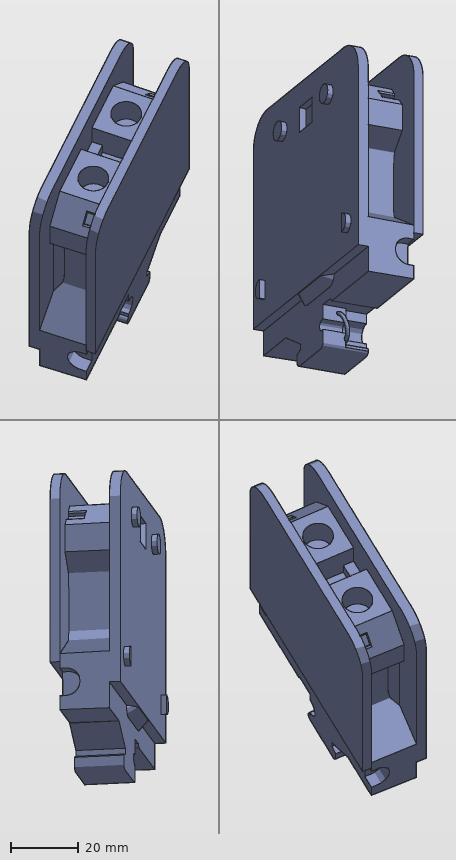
import cadquery as cq
import math


flange_thickness = 3.3
block_width = 15.0
plate_thickness = 3.0
block_left = flange_thickness
block_right = block_left + block_width
block_middle = block_left + block_width / 2

half_length = 37.0
total_height = 87.5
corner_radius = 10.0
flange_bottom = 20.6
plate_bottom = 27.5

peg_radius = 3.0
peg_length = 1.75
upper_peg_y = 16.3
upper_peg_z = 76.3
lower_peg_y = 28.9
lower_peg_z = 30.3

socket_width = 8.9
socket_height = 8.0
socket_depth = 2.0
socket_z = 75.8
socket_taper = 10

lug_width = 22.05
lug_y = -1.8
lug_bottom = 17.5
lug_height = 10.5
lug_depth = 3.15
lug_taper = 45
lug_corner = 3.2

block_bottom = 12.6
ramp_start_z = 30.1
waist_low_z = 37.6
waist_floor_z = 40.5
waist_roof_z = 53.0
waist_high_z = 58.1
head_bottom_z = 63.3
chamfer_bottom_z = 71.75
chamfer_angle = 45
block_top = 79.5
head_half = 28.9
chamfer_height = block_top - chamfer_bottom_z
tower_outer_y = head_half - chamfer_height / math.tan(math.radians(chamfer_angle))
waist_mouth_y = 23.3
waist_core_y = 22.6
block_draft = 0.7

gap_half = 4.3
gap_depth = 10.5
gap_step_depth = 7
gap_step_width = 3.4

screw_hole_radius = 4.55
screw_hole_y = 12.95
screw_hole_depth = 8.75

wall_start_y = 26.0
wall_rise = 2.2
wall_bottom_z = 35.9
wall_top_z = 60.55

pocket_length = 5.4
pocket_width = 4.9
pocket_depth = 1.7
pocket_bevel = 0.6

notch_radius = 4.2
notch_z = 21.3
notch_center_inset = 1.8
notch_depth = 4.5

foot_front_y = -5.1
foot_back_y = 13.4
foot_neck_y = 11.0
foot_corner = 1.9
foot_hook_z = 4.1
foot_neck_low_z = 5.1
foot_neck_high_z = 6.8
foot_ramp_y = 21.3
foot_overlap = 3.5
relief_top = 13.65
relief_y = -10.0
relief_end_y = -11.1

slot_radius = 1.7
slot_center_y = -4.2
bore_y = -3.4
bore_z = 7.35
bore_radius = 3.2
step_face_y = -3.5
toe_top = 2.6
toe_radius = 1.4

ring_radius = 4.5
wire_radius = 0.6
ring_x = 9.6
ring_z = 7.7
ring_tilt = 17.5

sides = (-1, 1)


def box_between(x_min, x_max, y_min, y_max, z_min, z_max):
    size = (x_max - x_min, y_max - y_min, z_max - z_min)
    return cq.Workplane("XY").box(*size, centered=False).translate((x_min, y_min, z_min))


def rounded_plate(left, thickness, bottom):
    """Plate lying in YZ with its two top corners rounded."""
    plate = box_between(left, left + thickness, -half_length, half_length, bottom, total_height)
    return plate.edges("|X and >Z").fillet(corner_radius)


def yz_plane(x):
    return cq.Workplane("YZ", origin=(x, 0, 0))


def peg_pair(peg_y, peg_z):
    centers = [(side * peg_y, peg_z) for side in sides]
    return yz_plane(0).pushPoints(centers).circle(peg_radius).extrude(-peg_length)


def pegs():
    upper = peg_pair(upper_peg_y, upper_peg_z)
    lower = peg_pair(lower_peg_y, lower_peg_z)
    peg_bottom = lower_peg_z - peg_radius
    peg_top = lower_peg_z + peg_radius
    inner_halves = box_between(-peg_length, 0, -lower_peg_y, lower_peg_y, peg_bottom, peg_top)
    return upper.union(lower.cut(inner_halves))


def socket():
    return (
        yz_plane(0)
        .center(0, socket_z)
        .rect(socket_width, socket_height)
        .extrude(socket_depth, taper=socket_taper)
    )


def lug():
    """Rounded pad that slopes away from the block to the outer face of the flange."""
    outline = cq.Sketch().rect(lug_width, lug_height).vertices().fillet(lug_corner)
    return (
        yz_plane(block_left)
        .center(lug_y, lug_bottom + lug_height / 2)
        .placeSketch(outline)
        .extrude(-lug_depth, taper=lug_taper)
    )


def terminal_block():
    """Waisted block whose outline shrinks slightly away from the flange."""
    half_outline = [
        (half_length, block_bottom),
        (half_length, ramp_start_z),
        (waist_mouth_y, waist_low_z),
        (waist_core_y, waist_floor_z),
        (waist_core_y, waist_roof_z),
        (waist_mouth_y, waist_high_z),
        (head_half, head_bottom_z),
        (head_half, chamfer_bottom_z),
        (tower_outer_y, block_top),
    ]
    mirrored = [(-y, z) for y, z in reversed(half_outline)]
    outline = half_outline + mirrored
    return yz_plane(block_left).polyline(outline).close().extrude(block_width, taper=block_draft)


def tower_gap():
    step_right = block_left + gap_step_width
    step_z = block_top - gap_step_depth
    step = box_between(block_left, step_right, -gap_half, gap_half, step_z, block_top)
    deep = box_between(step_right, block_right, -gap_half, gap_half, block_top - gap_depth, block_top)
    return step.union(deep)


def screw_holes():
    return (
        cq.Workplane("XY", origin=(block_middle, 0, block_top))
        .pushPoints([(0, side * screw_hole_y) for side in sides])
        .circle(screw_hole_radius)
        .extrude(-screw_hole_depth)
    )


def waist_wall(side):
    """Wedge that slopes from the flange up to the core of the waist."""
    corners = [
        (block_left, side * wall_start_y),
        (block_left, side * waist_core_y),
        (block_left + wall_rise, side * waist_core_y),
    ]
    wedge = cq.Workplane("XY", origin=(0, 0, wall_bottom_z)).polyline(corners).close()
    return wedge.extrude(wall_top_z - wall_bottom_z)


def latch_pocket(side):
    """Pocket with beveled ends, sunk square into a chamfer and open toward the end plate."""
    chamfer_middle_y = (head_half + tower_outer_y) / 2
    chamfer_middle_z = (block_top + chamfer_bottom_z) / 2
    mouth_half = pocket_width / 2
    floor_half = mouth_half - pocket_bevel
    profile = [
        (-mouth_half, 0),
        (-floor_half, -pocket_bevel),
        (-floor_half, -pocket_depth),
        (floor_half, -pocket_depth),
        (floor_half, -pocket_bevel),
        (mouth_half, 0),
    ]
    cutter = yz_plane(block_right - pocket_length).polyline(profile).close().extrude(pocket_length)
    tilted = cutter.rotate((0, 0, 0), (1, 0, 0), -side * chamfer_angle)
    return tilted.translate((0, side * chamfer_middle_y, chamfer_middle_z))


def side_notch(side):
    """Round-ended slot running in from one end of the block and open toward the end plate."""
    center_x = block_right - notch_center_inset
    y_outer = side * half_length
    y_inner = side * (half_length - notch_depth)
    y_min = min(y_outer, y_inner)
    y_max = max(y_outer, y_inner)
    z_min = notch_z - notch_radius
    z_max = notch_z + notch_radius
    end_plane = cq.Workplane("XZ", origin=(center_x, y_max, notch_z))
    round_end = end_plane.circle(notch_radius).extrude(notch_depth)
    opening = box_between(center_x, block_right, y_min, y_max, z_min, z_max)
    block_space = box_between(block_left, block_right, y_min, y_max, z_min, z_max)
    return round_end.intersect(block_space).union(opening)


def rail_foot():
    top = block_bottom + foot_overlap
    outline = [
        (foot_ramp_y, top),
        (foot_ramp_y, block_bottom),
        (foot_neck_y, foot_neck_high_z),
        (foot_neck_y, foot_neck_low_z),
        (foot_back_y, foot_hook_z),
        (foot_back_y, 0),
        (foot_front_y, 0),
        (foot_front_y, top),
    ]
    foot = yz_plane(block_left).polyline(outline).close().extrude(block_width)
    return foot.edges("|X and <Z").fillet(foot_corner)


def foot_relief():
    """Undercut in the underside of the block in front of the foot."""
    outline = [
        (foot_front_y, block_bottom),
        (foot_front_y, relief_top),
        (relief_y, relief_top),
        (relief_end_y, block_bottom),
    ]
    return yz_plane(block_left).polyline(outline).close().extrude(block_width)


def foot_slot():
    round_end = yz_plane(block_left).center(slot_center_y, bore_z).circle(slot_radius).extrude(block_width)
    mouth = box_between(
        block_left, block_right, foot_front_y, slot_center_y, bore_z - slot_radius, bore_z + slot_radius
    )
    return round_end.union(mouth)


def foot_step():
    """Set-back front face above a rounded toe, with a half-round bore, on the end-plate half."""
    toe_center_z = toe_top - toe_radius
    arc_offset = toe_radius * math.sqrt(0.5)
    half_width = block_right - block_middle
    face = (
        yz_plane(block_middle)
        .moveTo(step_face_y, relief_top)
        .lineTo(step_face_y, toe_top)
        .threePointArc(
            (step_face_y - arc_offset, toe_center_z + arc_offset),
            (step_face_y - toe_radius, toe_center_z),
        )
        .lineTo(foot_front_y, toe_center_z)
        .lineTo(foot_front_y, relief_top)
        .close()
        .extrude(half_width)
    )
    bore = yz_plane(block_middle).center(bore_y, bore_z).circle(bore_radius).extrude(half_width)
    return face.union(bore)


def make_spring_ring():
    """Wire ring about the X direction, tilted so that it leans toward the end plate at the bottom."""
    axis = cq.Vector(math.cos(math.radians(ring_tilt)), 0, math.sin(math.radians(ring_tilt)))
    center = cq.Vector(ring_x, bore_y, ring_z)
    return cq.Workplane(cq.Solid.makeTorus(ring_radius, wire_radius, center, axis))


def make_housing(ring):
    housing = rounded_plate(0, flange_thickness, flange_bottom)
    housing = housing.union(terminal_block()).union(rail_foot()).union(lug()).union(pegs())
    for side in sides:
        housing = housing.union(waist_wall(side))
        housing = housing.cut(latch_pocket(side)).cut(side_notch(side))
    housing = housing.cut(socket()).cut(tower_gap()).cut(screw_holes())
    housing = housing.cut(foot_relief()).cut(foot_slot()).cut(foot_step())
    return housing.cut(ring).solids()


def make_end_plate():
    return rounded_plate(block_right, plate_thickness, plate_bottom)


spring_ring = make_spring_ring()
housing = make_housing(spring_ring)
end_plate = make_end_plate()

result = cq.Compound.makeCompound([housing.val(), end_plate.val(), spring_ring.val()])